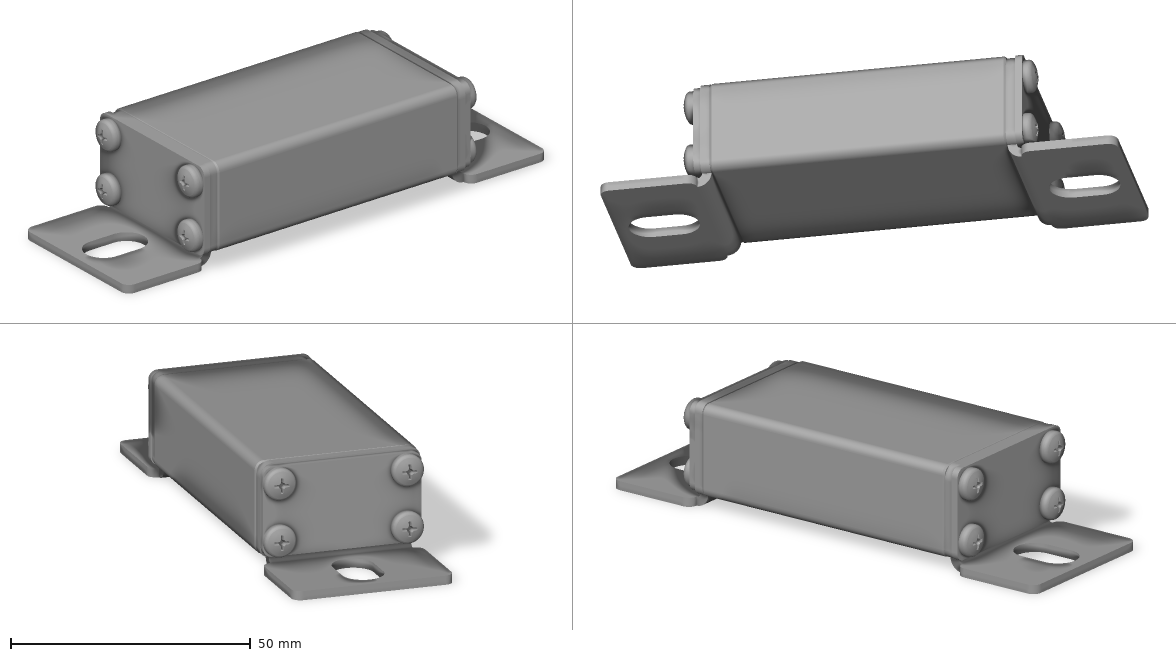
import cadquery as cq
import math

overall_length = 110.0
housing_width = 36.0
housing_height = 20.5
corner_radius = 2.0
housing_half_length = 31.5
end_chamfer_length = 0.45
end_chamfer_inset = 0.3

sheet_thickness = 2.0
bend_inner_radius = 1.0
bracket_width = 35.5
large_corner_radius = 3.0
neck_width = bracket_width - 2 * corner_radius
slot_width = 9.0
slot_length = 15.0
slot_center_y = 44.7

cover_face_y = 35.0
small_cover_inset = 0.45

screw_spacing_x = 28.3
screw_spacing_z = 12.5
head_radius = 3.5
head_height = 2.6
dome_radius = 6.2
dome_edge_fillet = 1.0
recess_span = 3.5
recess_arm_width = 0.75
recess_core_width = 1.5
recess_depth = 1.2
recess_taper = 14.0

housing_bottom = sheet_thickness + bend_inner_radius
housing_top = housing_bottom + housing_height
housing_mid_z = (housing_bottom + housing_top) / 2
upright_outer_y = housing_half_length + sheet_thickness
flange_inner_y = upright_outer_y + bend_inner_radius
flange_outer_y = overall_length / 2


def plate_along_y(width, height, y_start, y_end):
    """Upright block centred on the housing axis, spanning y_start to y_end."""
    length = y_end - y_start
    return cq.Workplane("XY").box(width, length, height).translate(
        (0, (y_start + y_end) / 2, housing_mid_z)
    )


def make_housing():
    """Rounded bar whose two end rims are chamfered."""
    bar = plate_along_y(housing_width, housing_height, -housing_half_length, housing_half_length)
    bar = bar.edges("|Y").fillet(corner_radius)
    return bar.faces("<Y or >Y").chamfer(end_chamfer_inset, end_chamfer_length)


def make_cover(inset):
    """Rounded end plate at the +Y end, set in from the housing outline by inset."""
    cover = plate_along_y(
        housing_width - 2 * inset, housing_height - 2 * inset, upright_outer_y, cover_face_y
    )
    return cover.edges("|Y").fillet(corner_radius)


def make_bracket():
    """Bracket for the +Y end: upright plate, narrow bend and slotted flange."""
    upright = plate_along_y(bracket_width, housing_height, housing_half_length, upright_outer_y)
    upright = upright.edges("|Y and (<X or <Z)").fillet(corner_radius)
    upright = upright.edges("|Y and >X and >Z").fillet(large_corner_radius)

    bend_outer_radius = bend_inner_radius + sheet_thickness
    diagonal = math.sqrt(0.5)
    bend = (
        cq.Workplane("YZ", origin=(-neck_width / 2, 0, 0))
        .moveTo(housing_half_length, housing_bottom)
        .threePointArc(
            (
                flange_inner_y - bend_outer_radius * diagonal,
                housing_bottom - bend_outer_radius * diagonal,
            ),
            (flange_inner_y, 0),
        )
        .lineTo(flange_inner_y, sheet_thickness)
        .threePointArc(
            (
                flange_inner_y - bend_inner_radius * diagonal,
                housing_bottom - bend_inner_radius * diagonal,
            ),
            (upright_outer_y, housing_bottom),
        )
        .close()
        .extrude(neck_width)
    )

    flange = (
        cq.Workplane("XY")
        .center(0, (flange_inner_y + flange_outer_y) / 2)
        .rect(bracket_width, flange_outer_y - flange_inner_y)
        .extrude(sheet_thickness)
        .edges("|Z")
        .fillet(corner_radius)
    )
    slot = (
        cq.Workplane("XY")
        .center(0, slot_center_y)
        .slot2D(slot_length, slot_width, 90)
        .extrude(sheet_thickness)
    )
    return upright.union(bend).union(flange.cut(slot))


def make_screw_head():
    """Domed head standing on the XY plane along +Z, with a cross recess."""
    dome_drop_at_rim = dome_radius - math.sqrt(dome_radius**2 - head_radius**2)
    dome_drop_halfway = dome_radius - math.sqrt(dome_radius**2 - (head_radius / 2) ** 2)
    head = (
        cq.Workplane("XZ")
        .lineTo(head_radius, 0)
        .lineTo(head_radius, head_height - dome_drop_at_rim)
        .threePointArc((head_radius / 2, head_height - dome_drop_halfway), (0, head_height))
        .close()
        .revolve(360, (0, 0, 0), (0, 1, 0))
    )
    head = head.faces("%CYLINDER").edges(">Z").fillet(dome_edge_fillet)

    top = cq.Workplane("XY", origin=(0, 0, head_height))
    recess = top.rect(recess_span, recess_arm_width).extrude(-recess_depth, taper=recess_taper)
    recess = recess.union(recess.rotate((0, 0, 0), (0, 0, 1), 90))
    core = top.transformed(rotate=(0, 0, 45)).rect(recess_core_width, recess_core_width)
    return head.cut(recess).cut(core.extrude(-recess_depth, taper=recess_taper))


def make_end(cover_inset):
    """Bracket, cover and four screw heads for the +Y end."""
    end = make_bracket().union(make_cover(cover_inset))
    head = make_screw_head().rotate((0, 0, 0), (1, 0, 0), -90)
    for x in (-screw_spacing_x / 2, screw_spacing_x / 2):
        for z in (housing_mid_z - screw_spacing_z / 2, housing_mid_z + screw_spacing_z / 2):
            end = end.union(head.translate((x, cover_face_y, z)))
    return end


far_end = make_end(small_cover_inset)
near_end = make_end(0).rotate((0, 0, 0), (0, 0, 1), 180)
result = make_housing().union(far_end).union(near_end)